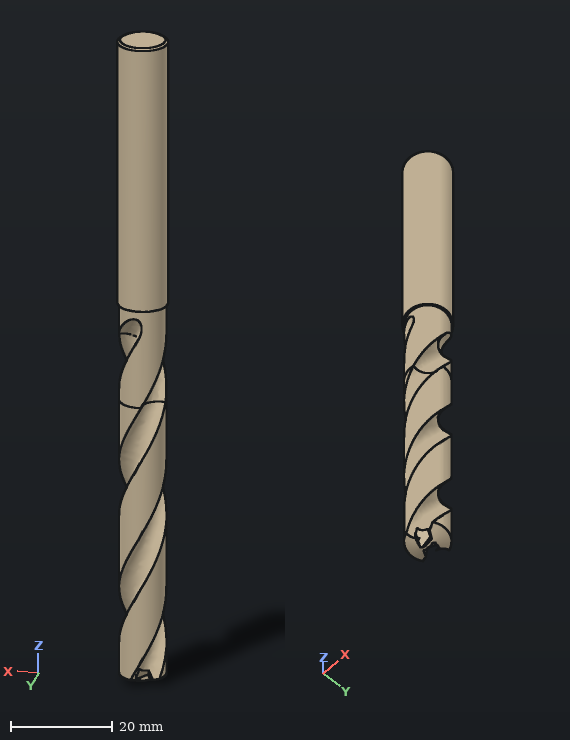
import cadquery as cq
import math

total_length = 136.0
shank_dia = 10.0
shank_length = 55.8
drill_dia = 9.4
joint_height = 59.7
point_angle = 140.0
end_chamfer_width = 0.5
end_chamfer_height = 0.4

flute_count = 2
flute_lead = 53.9
core_radius = 2.0
flute_spread = 76.0
flute_top = 73.7
left_crossing = 66.0

runout_outward = 0.3
runout_sideways = 0.9

gash_start = (1.2, -0.4, 1.6)
gash_run = (0.8, -2.5, 3.0)
gash_wide_wall = (-2.7, -1.4)
gash_steep_wall = (0.8, -2.2)

drill_radius = drill_dia / 2
shank_radius = shank_dia / 2
shank_bottom = total_length - shank_length
point_height = drill_radius / math.tan(math.radians(point_angle / 2))

half_spread = math.radians(flute_spread / 2)
half_chord = drill_radius * math.sin(half_spread)
flute_depth = drill_radius * math.cos(half_spread) - core_radius
flute_radius = (half_chord**2 + flute_depth**2) / (2 * flute_depth)
flute_offset = core_radius + flute_radius


def flute_angle(height):
    """Direction, in degrees from +X, that the first flute faces at a height."""
    return 180 + 360 * (height - left_crossing) / flute_lead


def flute_circle(height, turn):
    angle = math.radians(flute_angle(height) + turn)
    center = (flute_offset * math.cos(angle), flute_offset * math.sin(angle))
    return cq.Workplane("XY").workplane(offset=height).pushPoints([center]).circle(flute_radius)


def helical_flute(turn):
    return flute_circle(0, turn).twistExtrude(flute_top, 360 * flute_top / flute_lead)


def flute_runout(turn):
    angle = math.radians(flute_angle(flute_top) + turn)
    height = shank_bottom - flute_top
    path = cq.Vector(
        height * (runout_outward * math.cos(angle) - runout_sideways * math.sin(angle)),
        height * (runout_outward * math.sin(angle) + runout_sideways * math.cos(angle)),
        height,
    )
    rim = flute_circle(flute_top, turn).wires().val()
    return cq.Workplane(cq.Solid.extrudeLinear(rim, [], path))


def web_gash(turn):
    start_x, start_y, start_z = gash_start
    wide_x = start_x + gash_wide_wall[0]
    steep_x = start_x + gash_steep_wall[0]
    floor_z = start_z - gash_run[2]
    section = cq.Wire.makePolygon(
        [
            cq.Vector(start_x, start_y, start_z),
            cq.Vector(wide_x, start_y, start_z + gash_wide_wall[1]),
            cq.Vector(wide_x, start_y, floor_z),
            cq.Vector(steep_x, start_y, floor_z),
            cq.Vector(steep_x, start_y, start_z + gash_steep_wall[1]),
        ],
        close=True,
    )
    wedge = cq.Solid.extrudeLinear(section, [], cq.Vector(*gash_run))
    return cq.Workplane(wedge).rotate((0, 0, 0), (0, 0, 1), turn)


def cut_around(blank, cutter):
    for index in range(flute_count):
        blank = blank.cut(cutter(index * 360 / flute_count))
    return blank


def make_cutting_part():
    outline = [(0, 0), (drill_radius, point_height), (drill_radius, joint_height), (0, joint_height)]
    blank = cq.Workplane("XZ").polyline(outline).close().revolve(360, (0, 0), (0, 1))
    return cut_around(cut_around(blank, helical_flute), web_gash)


def make_shank_part():
    outline = [
        (0, joint_height),
        (drill_radius, joint_height),
        (drill_radius, shank_bottom),
        (shank_radius, shank_bottom),
        (shank_radius, total_length - end_chamfer_height),
        (shank_radius - end_chamfer_width, total_length),
        (0, total_length),
    ]
    blank = cq.Workplane("XZ").polyline(outline).close().revolve(360, (0, 0), (0, 1))
    return cut_around(cut_around(blank, helical_flute), flute_runout)


cutting_part = make_cutting_part()
shank_part = make_shank_part()
result = cq.Compound.makeCompound([cutting_part.val(), shank_part.val()])